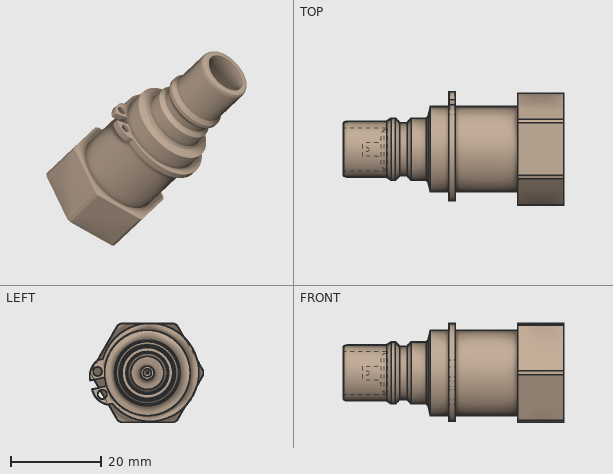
import cadquery as cq
import math

total_length = 49.0
hex_start = 38.75
shoulder_start = 18.45
body_start = 19.35

tip_face_diameter = 11.25
tip_diameter = 11.85
tip_bevel_diameter = 12.25
nose_diameter = 12.45
neck_diameter = 11.85
collar_diameter = 13.8
shoulder_root_diameter = 14.6
body_diameter = 19.0

tip_edge_end = 0.1
tip_bevel_end = 0.5
tip_end = 1.0
collar_rise = 9.65
collar_top_start = 10.7
collar_top_end = 11.55
neck_start = 12.55
neck_end = 14.2
land_start = 15.15

hex_across_flats = 22.0
hex_corner_diameter = 24.9

ring_start = 23.45
ring_thickness = 1.4
ring_outer_radius = 10.9
ring_offset = 0.6
ring_tilt = -12.0
ring_gap = 1.95
lug_reach = 12.8
lug_half_width = 5.05
lug_root = 8.58
lug_shoulder = 10.2
lug_bulge = (11.85, 3.7)
lug_hole_diameter = 2.0
lug_hole_reach = 10.755
lug_hole_offset = 2.6

bore_diameter = 9.5
bore_depth = 9.8
poppet_diameter = 8.8
poppet_face_diameter = 7.35
poppet_flare_diameter = 5.2
poppet_tip_diameter = 3.0
poppet_head_start = 8.35
poppet_head_chamfer_length = 0.75
poppet_tip_position = 4.2
poppet_hole_diameter = 1.8
poppet_hole_floor_diameter = 0.5
poppet_hole_depth = 1.45


def revolve_about_x(profile):
    """Turn a closed half profile, drawn as (X, radius), about the X axis."""
    return profile.close().revolve(360, (0, 0, 0), (1, 0, 0))


def make_body():
    tip_radius = tip_diameter / 2
    nose_radius = nose_diameter / 2
    neck_radius = neck_diameter / 2
    collar_radius = collar_diameter / 2
    root_radius = shoulder_root_diameter / 2
    body_radius = body_diameter / 2
    root_station = shoulder_start + root_radius - collar_radius
    profile = (
        cq.Workplane("XY")
        .lineTo(0, tip_face_diameter / 2)
        .lineTo(tip_edge_end, tip_radius)
        .lineTo(tip_bevel_end, tip_bevel_diameter / 2)
        .lineTo(tip_end, nose_radius)
        .lineTo(collar_rise, nose_radius)
        .lineTo(collar_top_start, collar_radius)
        .lineTo(collar_top_end, collar_radius)
        .lineTo(neck_start, neck_radius)
        .lineTo(neck_end, neck_radius)
        .lineTo(land_start, collar_radius)
        .lineTo(shoulder_start, collar_radius)
        .lineTo(root_station, root_radius)
        .lineTo(body_start, body_radius)
        .lineTo(hex_start, body_radius)
        .lineTo(hex_start, 0)
    )
    return revolve_about_x(profile)


def make_hexagon():
    across_corners = hex_across_flats / math.cos(math.radians(30))
    hex_length = total_length - hex_start
    hex_plane = cq.Workplane("YZ", origin=(hex_start, 0, 0))
    hexagon = hex_plane.polygon(6, across_corners).extrude(hex_length)
    turned_bar = hex_plane.circle(hex_corner_diameter / 2).extrude(hex_length)
    return hexagon.intersect(turned_bar)


def make_lug(side):
    """One ear of the ring; side is +1 or -1 across the gap."""
    half_gap = ring_gap / 2
    return (
        cq.Workplane("YZ", origin=(ring_start, 0, 0))
        .moveTo(lug_root, side * half_gap)
        .lineTo(lug_reach, side * half_gap)
        .threePointArc((lug_bulge[0], side * lug_bulge[1]), (lug_shoulder, side * lug_half_width))
        .lineTo(lug_root, side * lug_half_width)
        .close()
        .extrude(ring_thickness)
    )


def make_retaining_ring():
    ring_plane = cq.Workplane("YZ", origin=(ring_start, 0, 0))
    ring = ring_plane.center(-ring_offset, 0).circle(ring_outer_radius).extrude(ring_thickness)
    gap = ring_plane.center(lug_reach / 2, 0).rect(lug_reach, ring_gap).extrude(ring_thickness)
    holes = (
        ring_plane.pushPoints([(lug_hole_reach, lug_hole_offset), (lug_hole_reach, -lug_hole_offset)])
        .circle(lug_hole_diameter / 2)
        .extrude(ring_thickness)
    )
    ring = ring.union(make_lug(1)).union(make_lug(-1)).cut(gap).cut(holes)
    return ring.rotate((0, 0, 0), (1, 0, 0), ring_tilt)


def make_bore():
    return cq.Workplane("YZ").circle(bore_diameter / 2).extrude(bore_depth)


def make_poppet():
    """Valve poppet: coned head, flared nose and a tapered hole in its tip."""
    flare_radius = (poppet_flare_diameter - poppet_tip_diameter) / 2
    flare_middle = (
        poppet_head_start - flare_radius * (1 - math.sin(math.radians(45))),
        poppet_flare_diameter / 2 - flare_radius * math.cos(math.radians(45)),
    )
    profile = (
        cq.Workplane("XY")
        .moveTo(poppet_tip_position + poppet_hole_depth, 0)
        .lineTo(poppet_tip_position + poppet_hole_depth, poppet_hole_floor_diameter / 2)
        .lineTo(poppet_tip_position, poppet_hole_diameter / 2)
        .lineTo(poppet_tip_position, poppet_tip_diameter / 2)
        .lineTo(poppet_head_start - flare_radius, poppet_tip_diameter / 2)
        .threePointArc(flare_middle, (poppet_head_start, poppet_flare_diameter / 2))
        .lineTo(poppet_head_start, poppet_face_diameter / 2)
        .lineTo(poppet_head_start + poppet_head_chamfer_length, poppet_diameter / 2)
        .lineTo(bore_depth, poppet_diameter / 2)
        .lineTo(bore_depth, 0)
    )
    return revolve_about_x(profile)


shell = make_body().union(make_hexagon()).union(make_retaining_ring())
result = shell.cut(make_bore()).union(make_poppet())